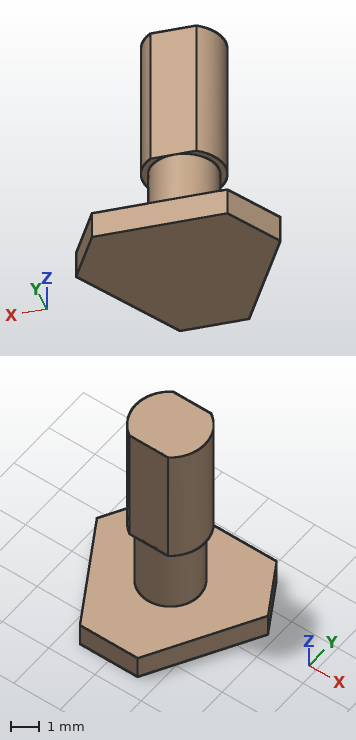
import cadquery as cq
import math

long_side = 4.9
short_side = 2.5
plate_thickness = 1.0

neck_diameter = 2.5
neck_length = 3.0
head_diameter = 3.0
head_length = 5.25
head_across_flats = neck_diameter

long_side_distance = (long_side + 2 * short_side) / (2 * math.sqrt(3))


def make_plate():
    """Six-sided plate with alternating long and short sides, centred on the stem axis."""
    corner_radius = math.hypot(long_side_distance, long_side / 2)
    half_long_angle = math.degrees(math.atan2(long_side / 2, long_side_distance))
    corners = []
    for side_direction in (90, 210, 330):
        for offset in (-half_long_angle, half_long_angle):
            angle = math.radians(side_direction + offset)
            corners.append((corner_radius * math.cos(angle), corner_radius * math.sin(angle)))
    return cq.Workplane("XY").polyline(corners).close().extrude(plate_thickness)


def make_neck():
    """Round neck standing on the plate."""
    return (
        cq.Workplane("XY")
        .workplane(offset=plate_thickness)
        .circle(neck_diameter / 2)
        .extrude(neck_length)
    )


def make_head():
    """Round head with two flats facing -Y and +Y."""
    head_base = cq.Workplane("XY").workplane(offset=plate_thickness + neck_length)
    cylinder = head_base.circle(head_diameter / 2).extrude(head_length)
    flats = head_base.rect(head_diameter, head_across_flats).extrude(head_length)
    return cylinder.intersect(flats)


result = make_plate().union(make_neck()).union(make_head())